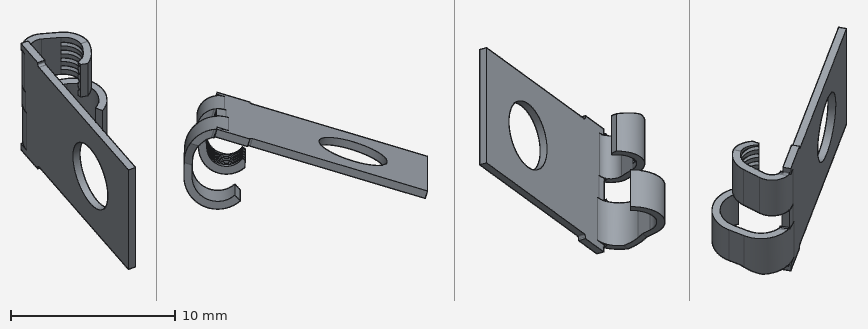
import cadquery as cq
import math

length = 14.79
sheet = 0.5
plate_half_width = 3.95
hole_x = 10.03
hole_radius = 2.17

tab_start = 1.35
tab_end = 3.45
tab_half_width = 4.22
hook_outer_z = 3.73
hook_inner_z = 0.78
tab_fillet = 0.15
notch_fillet = 0.13
web_bend_x = 1.92
web_lift = 0.07

tall_bend_radius = 2.07
tall_bend_x = 2.07
tall_lean = 15.0
tall_tip_radius = 2.07
tall_height = 5.16
tall_tip_angle = 31.0

short_bend_radius = 1.3
short_bend_x = 1.82
short_lean = 22.0
short_tip_radius = 1.7
short_height = 3.96
short_tip_angle = 18.0

taper_start_y = 1.46
taper_end_y = 2.85
taper_depth = 0.41

tip_taper_depth = 0.35
tip_taper_length = 1.36

bevel_radius = 1.42
bevel_angle = 31.0

groove_count = 4
groove_pitch = 0.62
groove_width = 0.3
groove_depth = 0.15

margin = 0.74


def polar(centre, radius, degrees):
    angle = math.radians(degrees)
    return (centre[0] + radius * math.cos(angle), centre[1] + radius * math.sin(angle))


def extrude_z(profile, z_low, z_high):
    """Extrude a closed XY profile between two Z levels."""
    return profile.extrude(z_high - z_low).translate((0, 0, z_low))


def box(x_range, y_range, z_range):
    low, high = zip(x_range, y_range, z_range)
    size = [b - a for a, b in zip(low, high)]
    return cq.Workplane("XY").box(*size, centered=False).translate(low)


def tip_centre(bend_x, bend_radius, lean, tip_radius, height):
    """Centre of the tip arc, tangent to the leaning wall that leaves the bend."""
    angle = math.radians(lean)
    centre_y = height - tip_radius
    wall_rise = centre_y - bend_radius + (tip_radius - bend_radius) * math.sin(angle)
    wall_run = wall_rise * math.tan(angle)
    centre_x = bend_x + (tip_radius - bend_radius) * math.cos(angle) + wall_run
    return (centre_x, centre_y)


def hook_profile(bend_x, bend_radius, lean, tip_radius, height, tip_angle):
    """Bent strip: flat foot, bend, leaning wall and curled tip."""
    bend = (bend_x, bend_radius)
    tip = tip_centre(bend_x, bend_radius, lean, tip_radius, height)
    wall = 180 - lean
    bend_middle = (wall + 270) / 2
    tip_middle = (wall + tip_angle) / 2
    bend_inner = bend_radius - sheet
    tip_inner = tip_radius - sheet
    return (
        cq.Workplane("XY")
        .moveTo(tab_end, 0)
        .lineTo(bend_x, 0)
        .threePointArc(polar(bend, bend_radius, bend_middle), polar(bend, bend_radius, wall))
        .lineTo(*polar(tip, tip_radius, wall))
        .threePointArc(polar(tip, tip_radius, tip_middle), polar(tip, tip_radius, tip_angle))
        .lineTo(*polar(tip, tip_inner, tip_angle))
        .threePointArc(polar(tip, tip_inner, tip_middle), polar(tip, tip_inner, wall))
        .lineTo(*polar(bend, bend_inner, wall))
        .threePointArc(polar(bend, bend_inner, bend_middle), (bend_x, sheet))
        .lineTo(tab_end, sheet)
        .close()
    )


def tall_strip(z_low, z_high):
    profile = hook_profile(
        tall_bend_x, tall_bend_radius, tall_lean, tall_tip_radius, tall_height, tall_tip_angle
    )
    return extrude_z(profile, z_low, z_high)


def short_strip(z_low, z_high):
    profile = hook_profile(
        short_bend_x, short_bend_radius, short_lean, short_tip_radius, short_height, short_tip_angle
    )
    return extrude_z(profile, z_low, z_high)


def tall_hook():
    """Tall hook with its outer edge stepping in along a slope."""
    taper = (
        cq.Workplane("YZ")
        .moveTo(taper_start_y, -hook_outer_z)
        .lineTo(taper_end_y, -hook_outer_z + taper_depth)
        .lineTo(tall_height + margin, -hook_outer_z + taper_depth)
        .lineTo(tall_height + margin, -hook_outer_z - margin)
        .lineTo(taper_start_y, -hook_outer_z - margin)
        .close()
        .extrude(length)
    )
    return tall_strip(-hook_outer_z, -hook_inner_z).cut(taper)


def grip_grooves(centre):
    """V grooves swept around the whole tip arc."""
    inner = short_tip_radius - sheet
    middle_z = (hook_outer_z + hook_inner_z) / 2
    sweep = 180 - short_lean - short_tip_angle
    grooves = cq.Workplane("XY")
    for index in range(groove_count):
        z = middle_z + (index - (groove_count - 1) / 2) * groove_pitch
        ring = (
            cq.Workplane("XZ")
            .moveTo(0, z - groove_width / 2)
            .lineTo(inner, z - groove_width / 2)
            .lineTo(inner + groove_depth, z)
            .lineTo(inner, z + groove_width / 2)
            .lineTo(0, z + groove_width / 2)
            .close()
            .revolve(sweep, (0, 0, 0), (0, 1, 0))
        )
        grooves = grooves.add(ring.rotate((0, 0, 0), (0, 0, 1), short_tip_angle))
    return grooves.translate((*centre, 0)).combine()


def short_hook():
    """Short hook with grooves, a bevelled tip and a sloping outer edge on the tip only."""
    centre = tip_centre(short_bend_x, short_bend_radius, short_lean, short_tip_radius, short_height)
    taper_slope = tip_taper_depth / tip_taper_length
    taper_run = tip_taper_length + margin
    taper = (
        cq.Workplane("XZ")
        .moveTo(centre[0], hook_outer_z)
        .lineTo(centre[0] + taper_run, hook_outer_z - taper_slope * taper_run)
        .lineTo(centre[0] + taper_run, hook_outer_z)
        .close()
        .extrude(-short_height)
        .cut(box((0, length), (0, sheet), (0, hook_outer_z)))
    )
    bevel = (
        cq.Workplane("XY")
        .moveTo(*polar(centre, bevel_radius, short_tip_angle))
        .lineTo(*polar(centre, short_tip_radius, bevel_angle))
        .lineTo(*polar(centre, short_tip_radius + margin, bevel_angle))
        .lineTo(*polar(centre, short_tip_radius + margin, short_tip_angle))
        .close()
    )
    strip = short_strip(hook_inner_z, hook_outer_z)
    return strip.cut(grip_grooves(centre)).cut(extrude_z(bevel, 0, hook_outer_z)).cut(taper)


def plate():
    body = box((tab_end, length), (0, sheet), (-plate_half_width, plate_half_width))
    hole = cq.Workplane("XZ").center(hole_x, 0).circle(hole_radius).extrude(-sheet)
    return body.cut(hole)


def corner_fillet(x, z, x_side, z_side, radius, height):
    """Prism filling an inside corner at (x, z) that opens towards the given sides."""
    centre = (x + x_side * radius, z + z_side * radius)
    reach = radius * math.sqrt(0.5)
    return (
        cq.Workplane("XZ")
        .moveTo(x, z)
        .lineTo(centre[0], z)
        .threePointArc((centre[0] - x_side * reach, centre[1] - z_side * reach), (x, centre[1]))
        .close()
        .extrude(-height)
    )


def notch_corner(strip, z, z_side):
    """Rounded corner between a hook's side and the end face next to it, bent with the hook."""
    z_low, z_high = sorted((z, z + z_side * notch_fillet))
    prism = corner_fillet(tab_start, z, -1, z_side, notch_fillet, short_bend_radius)
    return strip(z_low, z_high).intersect(prism)


def web():
    """Flat strip between the hooks, its free end lifted slightly and cut square."""
    end_shift = sheet * web_lift / (web_bend_x - tab_start)
    profile = (
        cq.Workplane("XY")
        .moveTo(tab_end, 0)
        .lineTo(web_bend_x, 0)
        .lineTo(tab_start, web_lift)
        .lineTo(tab_start + end_shift, web_lift + sheet)
        .lineTo(web_bend_x, sheet)
        .lineTo(tab_end, sheet)
        .close()
    )
    return extrude_z(profile, -hook_inner_z, hook_inner_z)


result = plate().union(tall_hook()).union(short_hook()).union(web())
for side, strip in ((1, short_strip), (-1, tall_strip)):
    z_low, z_high = sorted((side * hook_outer_z, side * tab_half_width))
    result = result.union(box((tab_start, tab_end), (0, sheet), (z_low, z_high)))
    result = result.union(corner_fillet(tab_end, side * plate_half_width, 1, side, tab_fillet, sheet))
    result = result.union(notch_corner(strip, side * hook_outer_z, side))
    result = result.union(notch_corner(strip, side * hook_inner_z, -side))